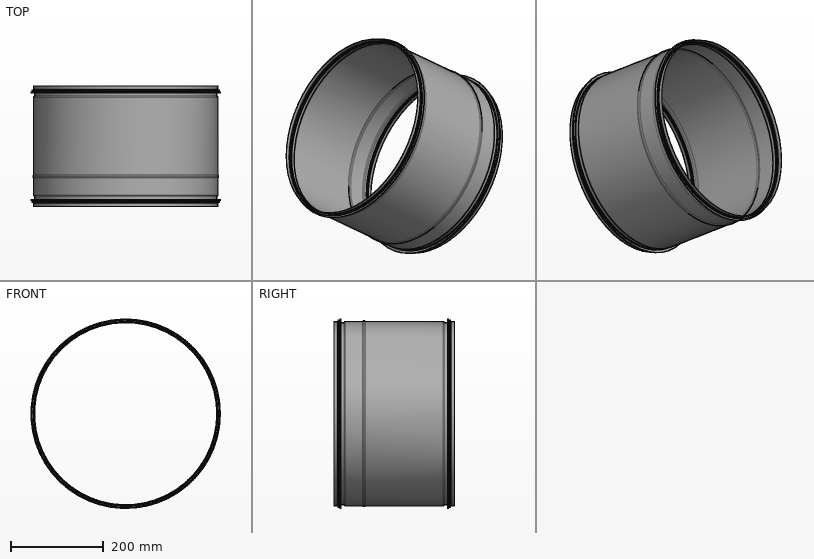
import cadquery as cq
import math


length = 260.99
body_diameter = 398.8
sheet = 0.5

groove_diameter = 394.0
groove_inset = 23.9
ramp_angle = math.radians(60)
ramp_bend = 2.0

flare_inset = 15.1
end_bore_diameter = body_diameter - 4 * sheet
nose_radius = 0.45
shoulder_inset = 8.3
shoulder_radius = 1.1
seat_diameter = 396.4

bead_y = -65.0
bead_height = 1.4
bead_base_width = 6.0
bead_angle = math.radians(45)
bead_bend = 1.25

seal_inset = 9.5
seal_width = 5.6
band_diameter = 397.8
inner_lip_diameter = 409.2
end_lip_diameter = 404.2
lip_thickness = 1.4

body_radius = body_diameter / 2
groove_radius = groove_diameter / 2
seat_radius = seat_diameter / 2
half_length = length / 2
shoulder_y = half_length - shoulder_inset
flare_y = half_length - flare_inset
ramp_y = half_length - groove_inset
ramp_length = (body_radius - groove_radius) / math.tan(ramp_angle)
seal_end_y = half_length - seal_inset
seal_inner_y = seal_end_y - seal_width



def sheet_step(high, low, high_y, low_y, angle, bend):
    """Outer and inner corners of a sloping step in the sheet, between two outside radii."""
    toward_low = math.copysign(1, low_y - high_y)
    shift = toward_low * sheet * math.tan(angle / 2)
    tight = bend - sheet / 2
    wide = bend + sheet / 2
    outer = [(high, high_y, wide), (low, low_y, tight)]
    inner = [(high - sheet, high_y - shift, tight), (low - sheet, low_y - shift, wide)]
    return outer, inner


def end_corners():
    """Outer and inner corners at the +Y end, from the body to the tube end."""
    ramp = sheet_step(body_radius, groove_radius, ramp_y, ramp_y + ramp_length, ramp_angle, ramp_bend)
    outer = ramp[0] + [
        (groove_radius, seal_inner_y, 0),
        (seat_radius, seal_inner_y, 0),
        (seat_radius, shoulder_y, 0),
        (body_radius, shoulder_y, shoulder_radius),
        (body_radius, half_length, nose_radius),
    ]
    inner = ramp[1] + [
        (groove_radius - sheet, flare_y, 0),
        (end_bore_diameter / 2, half_length, nose_radius),
    ]
    return outer, inner


def bead_corners():
    """Outer and inner corners of the bead, in order of rising Y."""
    crown_radius = body_radius + bead_height
    base = bead_base_width / 2
    crown = base - bead_height / math.tan(bead_angle)
    lower = sheet_step(crown_radius, body_radius, bead_y - crown, bead_y - base, bead_angle, bead_bend)
    upper = sheet_step(crown_radius, body_radius, bead_y + crown, bead_y + base, bead_angle, bead_bend)
    return [low[::-1] + up for low, up in zip(lower, upper)]


def mirrored(corners):
    """Corners mirrored to the other end of the tube, in reverse order."""
    return [(radius, -y, bend) for radius, y, bend in corners[::-1]]


def revolve_about_y(profile):
    """Solid of revolution of a profile about the Y axis."""
    return profile.close().revolve(360, (0, 0), (0, 1))


def rounded_profile(corners):
    """Open profile through all the corners, with an arc at each corner that has a bend radius."""
    profile = cq.Workplane("XY")
    for index, (radius, y, bend) in enumerate(corners):
        point = cq.Vector(radius, y)
        back = (cq.Vector(*corners[index - 1][:2]) - point).normalized()
        ahead = (cq.Vector(*corners[(index + 1) % len(corners)][:2]) - point).normalized()
        half_angle = back.getAngle(ahead) / 2
        tangent_length = bend / math.tan(half_angle)
        start = point + back * tangent_length
        profile = profile.lineTo(start.x, start.y) if index else profile.moveTo(start.x, start.y)
        if bend:
            end = point + ahead * tangent_length
            middle = point + (back + ahead).normalized() * (bend / math.sin(half_angle) - bend)
            profile = profile.threePointArc((middle.x, middle.y), (end.x, end.y))
    return profile


def make_tube():
    """Tube with its bead and a groove and rim at each end."""
    end_outer, end_inner = end_corners()
    bead_outer, bead_inner = bead_corners()
    outer = mirrored(end_outer) + bead_outer + end_outer
    inner = mirrored(end_inner) + bead_inner + end_inner
    return revolve_about_y(rounded_profile(outer + inner[::-1]))


def make_seal(side):
    """Seal band on its seat, with one lip along each edge."""
    outline = [
        (seat_radius, seal_inner_y),
        (inner_lip_diameter / 2, seal_inner_y),
        (inner_lip_diameter / 2, seal_inner_y + lip_thickness),
        (band_diameter / 2, seal_inner_y + lip_thickness),
        (band_diameter / 2, seal_end_y - lip_thickness),
        (end_lip_diameter / 2, seal_end_y - lip_thickness),
        (end_lip_diameter / 2, seal_end_y),
        (seat_radius, seal_end_y),
    ]
    profile = cq.Workplane("XY").polyline([(radius, side * y) for radius, y in outline])
    return revolve_about_y(profile)


tube = make_tube()
seals = [make_seal(side) for side in (-1, 1)]

result = cq.Compound.makeCompound([tube.val(), *[seal.val() for seal in seals]])